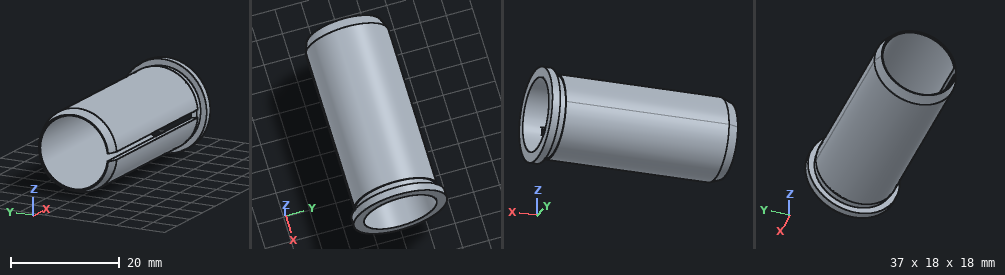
import cadquery as cq

length = 37.0
flange_diameter = 18.0
flange_thickness = 1.5
neck_diameter = 15.5
neck_width = 1.5
body_diameter = 16.0
tip_diameter = 14.55
tip_taper_length = 2.0
bore_diameter = 14.0
bore_bevel = 0.2
slot_width = 1.5

neck_end = length - flange_thickness
body_end = neck_end - neck_width
body_radius = body_diameter / 2
neck_radius = neck_diameter / 2
flange_radius = flange_diameter / 2
bore_radius = bore_diameter / 2


def sleeve():
    """Revolved sleeve with a tapered tip, bevelled bore mouth, relief neck and end flange."""
    profile = [
        (bore_bevel, bore_radius),
        (0, bore_radius + bore_bevel),
        (0, tip_diameter / 2),
        (tip_taper_length, body_radius),
        (body_end, body_radius),
        (body_end, neck_radius),
        (neck_end, neck_radius),
        (neck_end, flange_radius),
        (length, flange_radius),
        (length, bore_radius),
    ]
    outline = cq.Workplane("XY").polyline(profile).close()
    return outline.revolve(360, (0, 0, 0), (1, 0, 0))


def slot():
    """Cutter through the -Y wall, ending in a 45 degree ramp from the bore up to the neck."""
    profile = [
        (0, 0),
        (body_end - neck_radius, 0),
        (body_end, -neck_radius),
        (body_end, -body_radius),
        (0, -body_radius),
    ]
    return cq.Workplane("XY").polyline(profile).close().extrude(slot_width / 2, both=True)


result = sleeve().cut(slot())